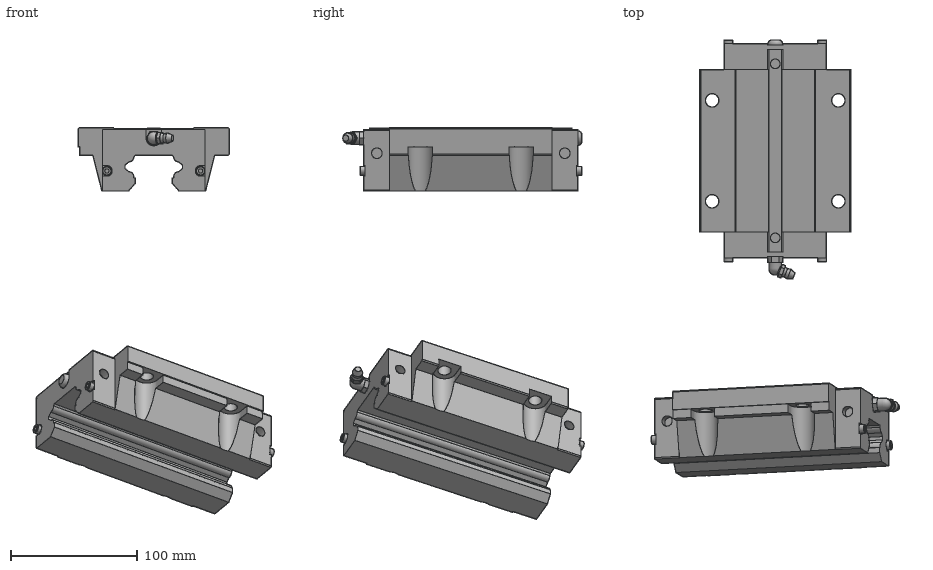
import cadquery as cq
import math

BLOCK_LENGTH = 128.7
BLOCK_TOP = 50.5
FLANGE_HALF_WIDTH = 120.0 / 2
FLANGE_BOTTOM = 28.5
FLANGE_CHAMFER = 1.0
REFERENCE_STEP_DEPTH = 1.1
REFERENCE_STEP_Z = 35.3
SKIRT_TOP_HALF_WIDTH = 48.3
SKIRT_BOTTOM_HALF_WIDTH = 41.1

RELIEF_HALF_WIDTH = 31.3
RELIEF_DEPTH = 0.8
STRIP_HALF_WIDTH = 5.1
STRIP_TOP = 50.0

HOLE_DIAMETER = 10.5
HOLE_X = 50.0
HOLE_Y = 40.0
SLOT_RADIUS = 9.7

CAP_HALF_WIDTH = 40.7
CAP_TOP = 49.0
CAP_CHAMFER_WIDTH = 0.5
CAP_CHAMFER_HEIGHT = 1.1
CAP_END = 80.4
PLATE_END = 84.9
POCKET_DEPTH = 1.1
POCKET_FLOOR = PLATE_END - POCKET_DEPTH
TOP_PORT_RADIUS = 3.8
TOP_PORT_Y = 69.0
TOP_PORT_DEPTH = 0.2
SIDE_PORT_RADIUS = 4.2
SIDE_PORT_Y = 74.5
SIDE_PORT_Z = 30.1
SIDE_PORT_DEPTH = 7.5

SCREW_X = 37.1
SCREW_Z = 16.1
SCREW_RADIUS = 3.6
SCREW_POCKET_RADIUS = 4.2
SCREW_HEAD_END = 88.0
SCREW_CHAMFER = 0.4
SOCKET_FLATS = 3.2
SOCKET_DEPTH = 1.9

PORT_Z = 42.0
PORT_POCKET_RADIUS = 6.0
PLUG_RADIUS = 5.9
PLUG_DOME_START = 84.3
PLUG_DOME_MIDDLE = (5.3, 86.6)
PLUG_TIP_RADIUS = 3.6
PLUG_END = 88.0
BASE_HEX_CORNERS = 12.1
BASE_HEX_END = 88.3
ELBOW_RADIUS = 5.1
ELBOW_Y = -93.5
NIPPLE_ANGLE = 21
NIPPLE_HEX_CORNERS = 10.6
NIPPLE_HEX_START = 4.0
NIPPLE_HEX_END = 6.8
NIPPLE_NECK = 9.1
NIPPLE_HEAD = 11.8
NIPPLE_TIP = 16.0
NIPPLE_SHANK_RADIUS = 4.2
NIPPLE_NECK_RADIUS = 3.6
NIPPLE_TIP_RADIUS = 2.5

OPENING_TOP_HALF_WIDTH = 14.8
OPENING_BOTTOM_HALF_WIDTH = 20.0
OPENING_LEDGE_HALF_WIDTH = 14.5
OPENING_LEDGE_TOP = 10.6
OPENING_LEDGE_BOTTOM = 6.3
RACE_Z = 19.3
RACE_HALF_WIDTH = 22.7
LIP_HALF_WIDTH = 15.7


def extrude_along_y(profile, y_start, y_end):
    """Extrude an XZ profile between two Y positions."""
    return profile.extrude(y_start - y_end).translate((0, y_start, 0))


def cylinder_along_y(x, z, radius, y_start, y_end):
    return extrude_along_y(cq.Workplane("XZ").center(x, z).circle(radius), y_start, y_end)


def hexagon_along_y(x, z, corners, y_start, y_end):
    """Hexagonal bar with two corners lying on the X direction."""
    return extrude_along_y(cq.Workplane("XZ").center(x, z).polygon(6, corners), y_start, y_end)


def strip_outline(base_z):
    """Section of the raised centre strip, with 45 degree flanks."""
    base_half_width = STRIP_HALF_WIDTH + STRIP_TOP - base_z
    return cq.Workplane("XZ").polyline([
        (-base_half_width, base_z),
        (-STRIP_HALF_WIDTH, STRIP_TOP),
        (STRIP_HALF_WIDTH, STRIP_TOP),
        (base_half_width, base_z),
    ]).close()


def make_block():
    """Flanged block with the reference step, top relief, strip and mounting holes."""
    half_length = BLOCK_LENGTH / 2
    step_x = FLANGE_HALF_WIDTH - REFERENCE_STEP_DEPTH
    relief_floor = BLOCK_TOP - RELIEF_DEPTH
    profile = cq.Workplane("XZ").polyline([
        (-SKIRT_BOTTOM_HALF_WIDTH, 0),
        (-SKIRT_TOP_HALF_WIDTH, FLANGE_BOTTOM),
        (-step_x, FLANGE_BOTTOM),
        (-step_x, REFERENCE_STEP_Z),
        (-FLANGE_HALF_WIDTH, REFERENCE_STEP_Z),
        (-FLANGE_HALF_WIDTH, BLOCK_TOP - FLANGE_CHAMFER),
        (-FLANGE_HALF_WIDTH + FLANGE_CHAMFER, BLOCK_TOP),
        (-RELIEF_HALF_WIDTH - RELIEF_DEPTH, BLOCK_TOP),
        (-RELIEF_HALF_WIDTH, relief_floor),
        (RELIEF_HALF_WIDTH, relief_floor),
        (RELIEF_HALF_WIDTH + RELIEF_DEPTH, BLOCK_TOP),
        (FLANGE_HALF_WIDTH - FLANGE_CHAMFER, BLOCK_TOP),
        (FLANGE_HALF_WIDTH, BLOCK_TOP - FLANGE_CHAMFER),
        (FLANGE_HALF_WIDTH, FLANGE_BOTTOM + FLANGE_CHAMFER),
        (FLANGE_HALF_WIDTH - FLANGE_CHAMFER, FLANGE_BOTTOM),
        (SKIRT_TOP_HALF_WIDTH, FLANGE_BOTTOM),
        (SKIRT_BOTTOM_HALF_WIDTH, 0),
    ]).close()
    block = extrude_along_y(profile, -half_length, half_length)
    block = block.union(extrude_along_y(strip_outline(relief_floor), -half_length, half_length))

    for side in (-1, 1):
        for y in (-HOLE_Y, HOLE_Y):
            centre = cq.Workplane("XY").center(side * HOLE_X, y)
            hole = centre.circle(HOLE_DIAMETER / 2).extrude(BLOCK_TOP)
            slot_end = centre.circle(SLOT_RADIUS).extrude(REFERENCE_STEP_Z)
            slot_mouth = (
                cq.Workplane("XY")
                .center(side * (HOLE_X + SLOT_RADIUS), y)
                .rect(2 * SLOT_RADIUS, 2 * SLOT_RADIUS)
                .extrude(REFERENCE_STEP_Z)
            )
            block = block.cut(hole).cut(slot_end).cut(slot_mouth)
    return block


def make_end_cap():
    """Cap and end plate at the +Y end, with the centre strip on the cap."""
    inner_x = CAP_HALF_WIDTH - CAP_CHAMFER_WIDTH
    profile = cq.Workplane("XZ").polyline([
        (-inner_x, 0),
        (-CAP_HALF_WIDTH, CAP_CHAMFER_HEIGHT),
        (-CAP_HALF_WIDTH, CAP_TOP - CAP_CHAMFER_HEIGHT),
        (-inner_x, CAP_TOP),
        (inner_x, CAP_TOP),
        (CAP_HALF_WIDTH, CAP_TOP - CAP_CHAMFER_HEIGHT),
        (CAP_HALF_WIDTH, CAP_CHAMFER_HEIGHT),
        (inner_x, 0),
    ]).close()
    cap_start = BLOCK_LENGTH / 2
    cap = extrude_along_y(profile, cap_start, PLATE_END)
    return cap.union(extrude_along_y(strip_outline(CAP_TOP), cap_start, CAP_END))


def cut_ports(body):
    """Shallow round recesses on the strip and blind holes in the cap sides."""
    for end in (-1, 1):
        recess = (
            cq.Workplane("XY", origin=(0, end * TOP_PORT_Y, STRIP_TOP))
            .circle(TOP_PORT_RADIUS)
            .extrude(-TOP_PORT_DEPTH)
        )
        body = body.cut(recess)
        for side in (-1, 1):
            hole = (
                cq.Workplane("YZ", origin=(side * CAP_HALF_WIDTH, end * SIDE_PORT_Y, SIDE_PORT_Z))
                .circle(SIDE_PORT_RADIUS)
                .extrude(-side * SIDE_PORT_DEPTH)
            )
            body = body.cut(hole)
    return body


def make_rail_opening():
    """Tool body for the opening that runs the full length, with a ball race on each side."""
    def mirrored(point):
        x, z = point
        return (x, 2 * RACE_Z - z)

    lip_start = (LIP_HALF_WIDTH, 27.0)
    lip_middle = (16.9, 24.5)
    lip_end = (19.7, 23.1)
    floor_top = (RACE_HALF_WIDTH, 20.7)

    half = (
        cq.Workplane("XZ")
        .moveTo(0, FLANGE_BOTTOM)
        .lineTo(OPENING_TOP_HALF_WIDTH, FLANGE_BOTTOM)
        .lineTo(*lip_start)
        .threePointArc(lip_middle, lip_end)
        .lineTo(*floor_top)
        .lineTo(*mirrored(floor_top))
        .lineTo(*mirrored(lip_end))
        .threePointArc(mirrored(lip_middle), mirrored(lip_start))
        .lineTo(LIP_HALF_WIDTH, OPENING_LEDGE_TOP)
        .lineTo(OPENING_LEDGE_HALF_WIDTH, OPENING_LEDGE_TOP)
        .lineTo(OPENING_LEDGE_HALF_WIDTH, OPENING_LEDGE_BOTTOM)
        .lineTo(OPENING_BOTTOM_HALF_WIDTH, 0)
        .lineTo(0, 0)
        .close()
    )
    right = extrude_along_y(half, -PLATE_END, PLATE_END)
    return right.union(right.mirror("YZ"))


def cut_plate_pockets(body):
    """Seats for the lubrication fittings (open upwards) and the screws (open sideways)."""
    for end in (-1, 1):
        floor_y = end * POCKET_FLOOR
        face_y = end * PLATE_END
        middle_y = (floor_y + face_y) / 2
        fitting_mouth = cq.Workplane("XY", origin=(0, middle_y, PORT_Z)).rect(
            2 * PORT_POCKET_RADIUS, POCKET_DEPTH
        ).extrude(CAP_TOP - PORT_Z)
        body = body.cut(fitting_mouth)
        body = body.cut(cylinder_along_y(0, PORT_Z, PORT_POCKET_RADIUS, floor_y, face_y))
        for side in (-1, 1):
            screw_mouth = cq.Workplane("YZ", origin=(side * SCREW_X, middle_y, SCREW_Z)).rect(
                POCKET_DEPTH, 2 * SCREW_POCKET_RADIUS
            ).extrude(side * (CAP_HALF_WIDTH - SCREW_X))
            body = body.cut(screw_mouth)
            body = body.cut(
                cylinder_along_y(side * SCREW_X, SCREW_Z, SCREW_POCKET_RADIUS, floor_y, face_y)
            )
    return body


def make_screw(x):
    """Socket-head screw in the +Y end plate."""
    head = cylinder_along_y(x, SCREW_Z, SCREW_RADIUS, POCKET_FLOOR, SCREW_HEAD_END)
    head = head.faces(">Y").chamfer(SCREW_CHAMFER)
    socket_corners = SOCKET_FLATS / math.cos(math.pi / 6)
    socket_floor = SCREW_HEAD_END - SOCKET_DEPTH
    return head.cut(hexagon_along_y(x, SCREW_Z, socket_corners, socket_floor, SCREW_HEAD_END))


def make_plug():
    """Round plug with a domed, flat-tipped head, revolved about the port axis."""
    profile = (
        cq.Workplane("XY", origin=(0, 0, PORT_Z))
        .moveTo(0, POCKET_FLOOR)
        .lineTo(PLUG_RADIUS, POCKET_FLOOR)
        .lineTo(PLUG_RADIUS, PLUG_DOME_START)
        .threePointArc(PLUG_DOME_MIDDLE, (PLUG_TIP_RADIUS, PLUG_END))
        .lineTo(0, PLUG_END)
        .close()
    )
    return profile.revolve(360, (0, 0, 0), (0, 1, 0))


def make_nipple():
    """Hexagon base, round elbow, and an angled nipple lying flat in the XY plane."""
    base = hexagon_along_y(0, PORT_Z, BASE_HEX_CORNERS, -BASE_HEX_END, -POCKET_FLOOR)
    stem = cylinder_along_y(0, PORT_Z, ELBOW_RADIUS, ELBOW_Y, -BASE_HEX_END)
    elbow = cq.Workplane("XY").sphere(ELBOW_RADIUS).translate((0, ELBOW_Y, PORT_Z))

    collar = (
        cq.Workplane("YZ", origin=(NIPPLE_HEX_START, 0, 0))
        .polygon(6, NIPPLE_HEX_CORNERS)
        .extrude(NIPPLE_HEX_END - NIPPLE_HEX_START)
    )
    shank = (
        cq.Workplane("XY")
        .polyline([
            (0, 0),
            (0, NIPPLE_SHANK_RADIUS),
            (NIPPLE_HEX_END, NIPPLE_SHANK_RADIUS),
            (NIPPLE_NECK, NIPPLE_NECK_RADIUS),
            (NIPPLE_HEAD, NIPPLE_SHANK_RADIUS),
            (NIPPLE_TIP, NIPPLE_TIP_RADIUS),
            (NIPPLE_TIP, 0),
        ])
        .close()
        .revolve(360, (0, 0, 0), (1, 0, 0))
    )
    arm = collar.union(shank)
    arm = arm.rotate((0, 0, 0), (0, 0, 1), -NIPPLE_ANGLE).translate((0, ELBOW_Y, PORT_Z))
    return base.union(stem).union(elbow).union(arm)


end_cap = make_end_cap()
result = make_block().union(end_cap).union(end_cap.mirror("XZ"))
result = cut_ports(result)
result = result.cut(make_rail_opening())
result = cut_plate_pockets(result)
for screw_x in (-SCREW_X, SCREW_X):
    screw = make_screw(screw_x)
    result = result.union(screw).union(screw.mirror("XZ"))
result = result.union(make_plug()).union(make_nipple())